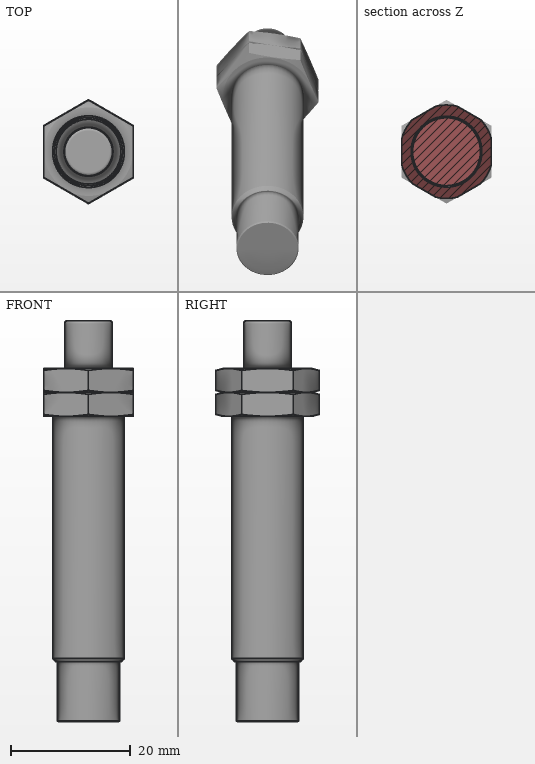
import cadquery as cq
import math

total_height = 67.0
thread_diameter = 12.0
thread_end_chamfer = 0.6

shank_diameter = 10.4
shank_length = 10.0
shank_end_chamfer = 0.2

tip_diameter = 8.0
tip_length = 8.0
tip_edge_radius = 0.5
groove_diameter = 8.2
groove_depth = 0.5
thread_top = total_height - tip_length

nut_count = 2
nut_across_flats = 15.0
nut_across_corners = nut_across_flats / math.cos(math.radians(30))
nut_height = 4.0
nut_face_diameter = 14.8
nut_chamfer_angle = 15.0

seat_length = nut_count * nut_height
seat_diameter = thread_diameter - thread_end_chamfer
seat_chamfer = thread_end_chamfer / 2
nut_mouth_chamfer = thread_end_chamfer / 2


def cylinder(diameter, bottom, height):
    return cq.Workplane("XY").workplane(offset=bottom).circle(diameter / 2).extrude(height)


def make_sensor():
    """Shank, threaded barrel, nut seat and sensing tip as one solid."""
    shank = cylinder(shank_diameter, 0, shank_length).faces("<Z").chamfer(shank_end_chamfer)
    barrel = cylinder(thread_diameter, shank_length, thread_top - seat_length - shank_length)
    barrel = barrel.faces("<Z").edges().chamfer(thread_end_chamfer)
    seat = cylinder(seat_diameter, thread_top - seat_length, seat_length)
    seat = seat.faces(">Z").edges().chamfer(seat_chamfer)
    groove = cylinder(groove_diameter, thread_top - groove_depth, groove_depth)
    tip = cylinder(tip_diameter, thread_top - groove_depth, tip_length + groove_depth)
    tip = tip.faces(">Z").edges().fillet(tip_edge_radius)
    return shank.union(barrel).union(seat).cut(groove).union(tip)


def make_nut_envelope():
    """Turned blank whose conical ends bevel the hexagon corners."""
    face_radius = nut_face_diameter / 2
    corner_radius = nut_across_corners / 2
    bevel_height = (corner_radius - face_radius) * math.tan(math.radians(nut_chamfer_angle))
    return (
        cq.Workplane("XZ")
        .moveTo(0, 0)
        .lineTo(face_radius, 0)
        .lineTo(corner_radius, bevel_height)
        .lineTo(corner_radius, nut_height - bevel_height)
        .lineTo(face_radius, nut_height)
        .lineTo(0, nut_height)
        .close()
        .revolve(360, (0, 0, 0), (0, 1, 0))
    )


def make_nut(bottom):
    """Hexagon nut with two corners on the Y axis, bored to fit the seat and chamfered at both mouths."""
    hexagon = cq.Workplane("XY").polygon(6, nut_across_corners).extrude(nut_height)
    hexagon = hexagon.rotate((0, 0, 0), (0, 0, 1), 90)
    nut = hexagon.intersect(make_nut_envelope())
    nut = nut.cut(cylinder(seat_diameter, 0, nut_height))
    nut = nut.edges(cq.selectors.RadiusNthSelector(0)).chamfer(nut_mouth_chamfer)
    return nut.translate((0, 0, bottom))


sensor = make_sensor()
nuts = [make_nut(thread_top - (index + 1) * nut_height) for index in range(nut_count)]

result = cq.Compound.makeCompound([sensor.val(), *[nut.val() for nut in nuts]])